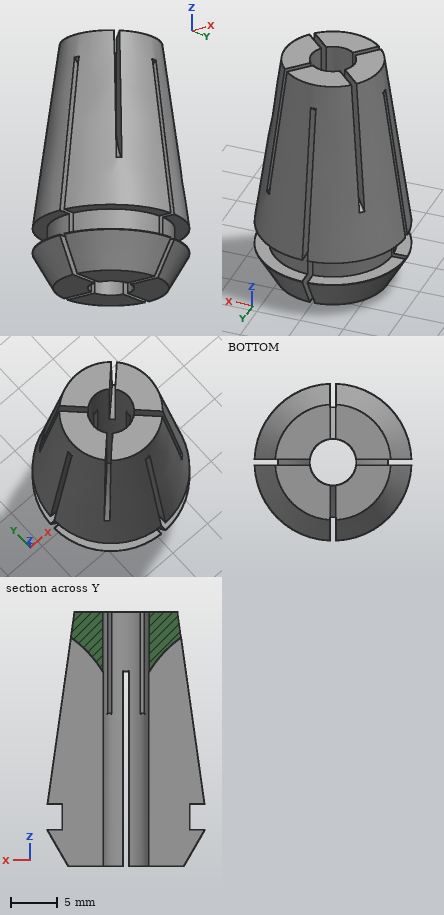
import cadquery as cq
import math

length = 27.5
max_radius = 8.5
bore_radius = 2.5

cone_base_z = 6.75
cone_half_angle = 8.0

groove_radius = 6.9
flange_top_z = 4.0
flange_lip = 0.08
flange_half_angle = 30.0

slot_width = 0.6
blade_radius = 12.65
slots_per_end = 4
lower_slot_bore_z = 21.05
lower_slot_outer_z = 24.75
upper_slot_bore_z = 16.55
upper_slot_outer_z = 12.38

clearance = 1.38


def cone_radius(z):
    """Outer radius of the clamping cone at height z."""
    return max_radius - (z - cone_base_z) * math.tan(math.radians(cone_half_angle))


def make_body():
    """Revolve the cone, groove and flange around the bore."""
    lip_z = flange_top_z - flange_lip
    bottom_radius = max_radius - lip_z * math.tan(math.radians(flange_half_angle))
    outline = [
        (bore_radius, 0),
        (bottom_radius, 0),
        (max_radius, lip_z),
        (max_radius, flange_top_z),
        (groove_radius, flange_top_z),
        (groove_radius, cone_base_z),
        (max_radius, cone_base_z),
        (cone_radius(length), length),
        (bore_radius, length),
    ]
    return cq.Workplane("XZ").polyline(outline).close().revolve(360, (0, 0), (0, 1))


def slot_cutter(bore_z, outer_z, open_z, arc_radius):
    """One radial slot along +X, from its curved end at bore_z..outer_z to the open end."""
    reach = max_radius + clearance
    return (
        cq.Workplane("XZ")
        .moveTo(0, open_z)
        .lineTo(0, bore_z)
        .lineTo(bore_radius, bore_z)
        .radiusArc((cone_radius(outer_z), outer_z), arc_radius)
        .lineTo(reach, outer_z)
        .lineTo(reach, open_z)
        .close()
        .extrude(slot_width / 2, both=True)
    )


def cut_around(body, cutter, start_angle):
    """Cut equally spaced copies of a slot around the Z axis."""
    for i in range(slots_per_end):
        angle = start_angle + i * 360 / slots_per_end
        body = body.cut(cutter.rotate((0, 0, 0), (0, 0, 1), angle))
    return body


lower_slot = slot_cutter(lower_slot_bore_z, lower_slot_outer_z, -clearance, blade_radius)
upper_slot = slot_cutter(upper_slot_bore_z, upper_slot_outer_z, length + clearance, -blade_radius)

body = cut_around(make_body(), lower_slot, 0)

body = cut_around(body, upper_slot, 180 / slots_per_end)

result = body.solids()